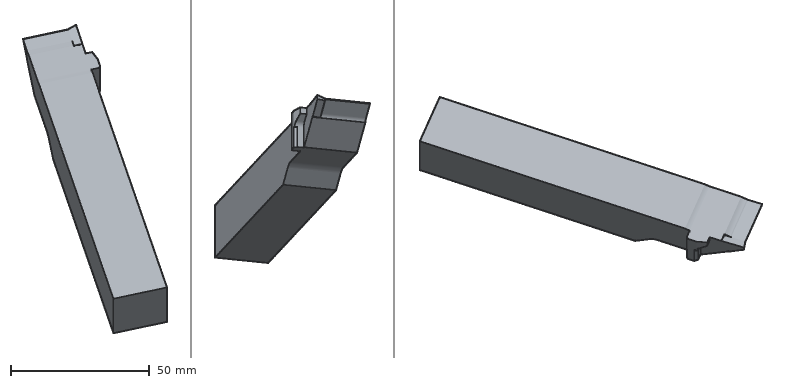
import cadquery as cq
import math

total_length = 125.0
shank_size = 20.0
head_underside_z = 5.7
underside_ramp_end_x = 41.9
underside_fillet = 5.0
nose_foot_x = 16.3
relief_angle = 39.0
relief_radius = 2.4

head_top_z = 19.65
head_front_x = 8.7
head_back_x = 20.9
shank_start_x = 22.7
head_rise_sag = 0.05

seat_front_x = 0.6
seat_front_z = 19.35
seat_end_x = 6.1
seat_rake = 3.0
seat_step_length = 0.4
seat_step_height = 0.1
seat_rise_sag = 0.08
nose_edge_z = 19.0
nose_round_top_z = 15.2
nose_round_bottom_z = 13.8

blade_width = 3.1
blade_tip_z = 20.2
blade_tip_bottom_z = 18.6
blade_foot_z = 13.95

lug_front_x = 13.2
lug_shoulder = 2.4
lug_height = 3.5
lug_crest_length = 3.8
lug_lower_crest_length = 1.1
lug_corner_radius = 1.0
lug_slope_top_z = 17.3
lug_round_top_z = 15.2
lug_root = 1.0

relief = math.radians(relief_angle)
seat_fall = math.tan(math.radians(seat_rake))
blade_inner_y = shank_size - blade_width
lug_top_y = shank_size + lug_height
lug_lower_z = lug_round_top_z - relief_radius * math.cos(relief)
lug_round_x = lug_front_x + (lug_slope_top_z - lug_round_top_z) / math.tan(relief)
lug_lower_x = lug_round_x + relief_radius * (1 - math.sin(relief))


def arc_through(start, end, sag):
    """Middle point of an arc that bulges to the right of the direction from start to end."""
    dx = end[0] - start[0]
    dz = end[1] - start[1]
    chord = math.hypot(dx, dz)
    mid_x = (start[0] + end[0]) / 2
    mid_z = (start[1] + end[1]) / 2
    return (mid_x + sag * dz / chord, mid_z - sag * dx / chord)


def relief_round_point(start, direction):
    """Point on a round that begins tangent to a relief slope, where it has turned to direction."""
    x = start[0] + relief_radius * (math.sin(direction) - math.sin(relief))
    z = start[1] - relief_radius * (math.cos(relief) - math.cos(direction))
    return (x, z)


def extrude_between(outline, y_start, y_end):
    """Extrude an XZ outline from y_start to y_end."""
    return outline.extrude(y_start - y_end).translate((0, y_start, 0))


def make_holder():
    seat_end = (seat_end_x, seat_front_z - seat_fall * (seat_end_x - seat_front_x))
    seat_step = (seat_end[0] + seat_step_length, seat_end[1] + seat_step_height)
    head_front = (head_front_x, head_top_z)
    head_back = (head_back_x, head_top_z)
    shank_start = (shank_start_x, shank_size)
    ramp_top_x = underside_ramp_end_x - head_underside_z / math.tan(relief)

    round_top_x = seat_front_x + (nose_edge_z - nose_round_top_z) / math.tan(relief)
    round_top = (round_top_x, nose_round_top_z)
    round_drop = nose_round_top_z - nose_round_bottom_z
    round_end_direction = math.acos(math.cos(relief) - round_drop / relief_radius)
    round_mid = relief_round_point(round_top, (relief + round_end_direction) / 2)
    round_bottom = relief_round_point(round_top, round_end_direction)

    outline = (
        cq.Workplane("XZ")
        .moveTo(seat_front_x, seat_front_z)
        .lineTo(*seat_end)
        .lineTo(*seat_step)
        .threePointArc(arc_through(seat_step, head_front, seat_rise_sag), head_front)
        .lineTo(*head_back)
        .threePointArc(arc_through(head_back, shank_start, head_rise_sag), shank_start)
        .lineTo(total_length, shank_size)
        .lineTo(total_length, 0)
        .lineTo(underside_ramp_end_x, 0)
        .lineTo(ramp_top_x, head_underside_z)
        .lineTo(nose_foot_x, head_underside_z)
        .lineTo(*round_bottom)
        .threePointArc(round_mid, round_top)
        .lineTo(seat_front_x, nose_edge_z)
        .close()
    )
    holder = extrude_between(outline, 0, shank_size)
    ramp_edge = cq.selectors.NearestToPointSelector((ramp_top_x, shank_size / 2, head_underside_z))
    return holder.edges(ramp_edge).fillet(underside_fillet)


def make_blade_pocket():
    """Space in front of the head, above the blade foot, that the blade fills."""
    return cq.Workplane("XY").box(
        head_front_x, blade_width, blade_tip_z - blade_foot_z, centered=False
    ).translate((0, blade_inner_y, blade_foot_z))


def blade_section(y, front_x, top_z):
    """Blade outline in the plane at y, with its cutting edge at front_x and top_z."""
    foot_x = front_x + (blade_tip_bottom_z - blade_foot_z) / math.tan(relief)
    points = [
        (front_x, top_z),
        (head_front_x, top_z - seat_fall * (head_front_x - front_x)),
        (head_front_x, blade_foot_z),
        (foot_x, blade_foot_z),
        (front_x, blade_tip_bottom_z),
    ]
    return cq.Wire.makePolygon([cq.Vector(x, y, z) for x, z in points], close=True)


def make_blade():
    """Blade whose skewed front meets the seat front on its inner side."""
    outer = blade_section(shank_size, 0, blade_tip_z)
    inner = blade_section(blade_inner_y, seat_front_x, seat_front_z)
    return cq.Workplane(obj=cq.Solid.makeLoft([outer, inner], True))


def make_lug_prism(front_x, crest_length, bottom_z, top_z):
    """Upright prism that slants from its front shoulder to a flat top."""
    prism = (
        cq.Workplane("XY", origin=(0, 0, bottom_z))
        .moveTo(front_x, shank_size - lug_root)
        .lineTo(front_x, shank_size + lug_shoulder)
        .lineTo(front_x + crest_length, lug_top_y)
        .lineTo(head_back_x, lug_top_y)
        .lineTo(head_back_x, shank_size - lug_root)
        .close()
        .extrude(top_z - bottom_z)
    )
    back_corner = cq.selectors.NearestToPointSelector((head_back_x, lug_top_y, (bottom_z + top_z) / 2))
    return prism.edges(back_corner).fillet(lug_corner_radius)


def make_lug():
    """Lug whose front slopes back to a set-back lower part."""
    round_top = (lug_round_x, lug_round_top_z)
    round_mid = relief_round_point(round_top, (relief + math.pi / 2) / 2)
    side_outline = (
        cq.Workplane("XZ")
        .moveTo(lug_front_x, head_top_z)
        .lineTo(lug_front_x, lug_slope_top_z)
        .lineTo(*round_top)
        .threePointArc(round_mid, (lug_lower_x, lug_lower_z))
        .lineTo(head_back_x, lug_lower_z)
        .lineTo(head_back_x, head_top_z)
        .close()
    )
    side_profile = extrude_between(side_outline, shank_size - lug_root, lug_top_y)
    upper = make_lug_prism(lug_front_x, lug_crest_length, lug_lower_z, head_top_z).intersect(side_profile)
    lower = make_lug_prism(lug_lower_x, lug_lower_crest_length, head_underside_z, lug_lower_z)
    return upper.union(lower)


holder_body = make_holder().cut(make_blade_pocket())
result = holder_body.union(make_blade()).union(make_lug())